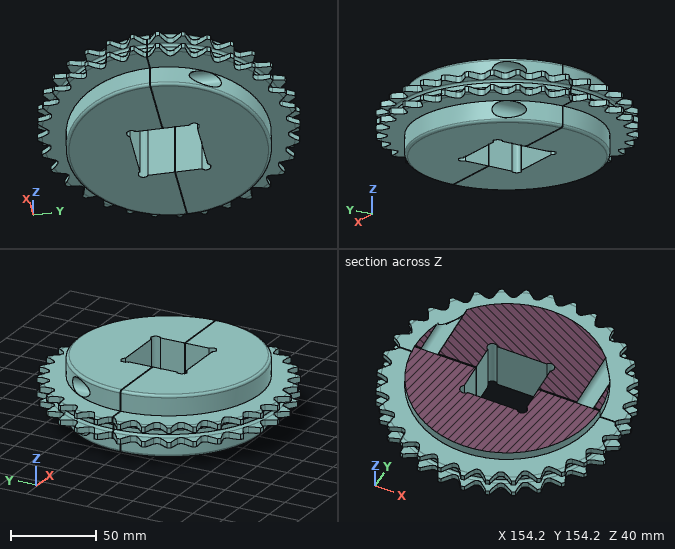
import cadquery as cq
import math


outer_size = 154.2
overall_height = 40.0

hub_radius = 60.3
hub_edge_fillet = 1.7

flange_outer_z = 6.8
flange_inner_z = 3.0
groove_radius = 69.0
groove_fillet = 1.5

tooth_count = 32
root_radius = 70.3
root_arc_radius = 2.8
flank_angle = 42.0
tip_gap_half_width = 6.5
tip_x = outer_size / 2
tip_radius = math.hypot(tip_x, tip_gap_half_width)
gap_overrun = 3.1

relief_length = 3.0
relief_depth = 0.5

bore_size = 40.4
corner_relief_radius = 3.0
corner_relief_offset = 18.7

split_gap = 0.5

bolt_hole_diameter = 10.6
bolt_hole_x = 50.6
bolt_hole_z = 12.2


def revolved_blank():
    """Hub, flanges and groove as one solid of revolution, before the teeth are cut."""
    hub_top = overall_height / 2
    groove_wall = groove_radius + groove_fillet
    groove_floor_z = flange_inner_z - groove_fillet
    relief_start = tip_radius - relief_length
    relief_z = flange_outer_z - relief_depth
    fillet_mid = 1 - math.sqrt(0.5)
    edge_mid = hub_edge_fillet * fillet_mid
    groove_mid_x = groove_radius + groove_fillet * fillet_mid
    groove_mid_z = flange_inner_z - groove_fillet * fillet_mid
    upper_half = (
        cq.Workplane("XZ")
        .lineTo(groove_radius, 0)
        .lineTo(groove_radius, groove_floor_z)
        .threePointArc((groove_mid_x, groove_mid_z), (groove_wall, flange_inner_z))
        .lineTo(tip_radius, flange_inner_z)
        .lineTo(tip_radius, relief_z)
        .lineTo(relief_start, flange_outer_z)
        .lineTo(hub_radius, flange_outer_z)
        .lineTo(hub_radius, hub_top - hub_edge_fillet)
        .threePointArc(
            (hub_radius - edge_mid, hub_top - edge_mid),
            (hub_radius - hub_edge_fillet, hub_top),
        )
        .lineTo(0, hub_top)
        .close()
        .revolve(360, (0, 0, 0), (0, 1, 0))
    )
    return upper_half.union(upper_half.mirror("XY"))


def root_arc_point(tangent_angle):
    """Point on the upper half of the root arc where its tangent makes this angle with X."""
    angle = math.radians(tangent_angle)
    x = root_radius + root_arc_radius * (1 - math.sin(angle))
    return x, root_arc_radius * math.cos(angle)


def tooth_gap():
    """Cutter for the gap on the +X axis: round root and convex flanks."""
    flank_start = root_arc_point(flank_angle)
    root_arc_middle = root_arc_point((90 + flank_angle) / 2)
    gap_end_x = tip_x + gap_overrun
    upper_half = (
        cq.Workplane("XY")
        .moveTo(root_radius, 0)
        .threePointArc(root_arc_middle, flank_start)
        .tangentArcPoint((tip_x, tip_gap_half_width), relative=False)
        .lineTo(gap_end_x, tip_gap_half_width)
        .lineTo(gap_end_x, 0)
        .close()
        .extrude(overall_height / 2, both=True)
    )
    return upper_half.union(upper_half.mirror("XZ"))


def cut_teeth(blank):
    """Cut the tooth gaps through both flanges, with a gap centred on each axis."""
    gap = tooth_gap()
    pitch_angle = 360 / tooth_count
    for index in range(tooth_count):
        blank = blank.cut(gap.rotate((0, 0, 0), (0, 0, 1), index * pitch_angle))
    return blank


def square_bore():
    """Cutter for the through bore with a round relief in each corner."""
    bore = cq.Workplane("XY").rect(bore_size, bore_size).extrude(overall_height / 2, both=True)
    reliefs = (
        cq.Workplane("XY")
        .rect(2 * corner_relief_offset, 2 * corner_relief_offset, forConstruction=True)
        .vertices()
        .circle(corner_relief_radius)
        .extrude(overall_height / 2, both=True)
    )
    return bore.union(reliefs)


def half_space(side):
    """Block that covers everything on one side (+1 or -1 along Y) of the split gap."""
    return (
        cq.Workplane("XY")
        .box(2 * outer_size, outer_size, overall_height, centered=(True, True, True))
        .translate((0, side * (outer_size + split_gap) / 2, 0))
    )


def bolt_holes():
    """Cutters for the four bolt holes along Y, from the split face out through the rim."""
    return (
        cq.Workplane("XZ")
        .rect(2 * bolt_hole_x, 2 * bolt_hole_z, forConstruction=True)
        .vertices()
        .circle(bolt_hole_diameter / 2)
        .extrude(-outer_size / 2)
    )


def front_half(sprocket):
    return sprocket.intersect(half_space(-1))


def rear_half(sprocket):
    return sprocket.intersect(half_space(1)).cut(bolt_holes())


whole_sprocket = cut_teeth(revolved_blank()).cut(square_bore())
front = front_half(whole_sprocket)
rear = rear_half(whole_sprocket)

result = cq.Compound.makeCompound([front.val(), rear.val()])